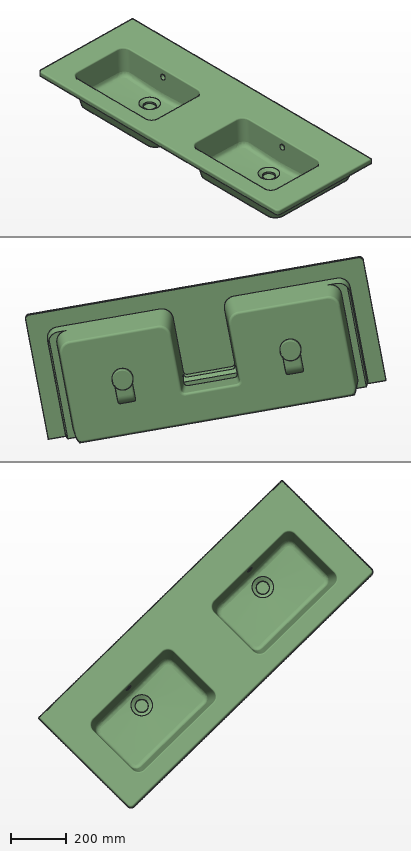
import cadquery as cq
import math


slab_length = 1227.0
slab_depth = 468.25
slab_thickness = 19.0
slab_corner_radius = 15.0
slab_edge_radius = 6.0

overall_height = 164.92
body_floor_z = -140.0

front_y_at_slab = -407.0
front_y_at_floor = -378.0
body_corner_radius = 42.0
body_edge_radius = 9.0
rear_cut_slope = math.tan(math.radians(27.0))

flange_half_length = 550.0
flange_draft = 3.0
flange_rear_cut = 9.0
flange_side_bevel = 5.0
flange_valley_bevel = 11.0
flange_z = -55.0

shell_half_length = 521.0
shell_draft = 13.0
shell_rear_cut_at_slab = 31.0
shell_rear_cut_at_floor = 18.0
shell_rear_radius = 36.0

valley_half_width_at_slab = 93.0
valley_half_width_at_floor = 106.0
valley_flange_y = -150.0
valley_shell_y = -120.0
valley_draft = 5.0
valley_root_radius = 13.0

basin_pitch = 610.0
bowl_half_length = 203.0
bowl_back_y = -143.0
bowl_front_y = -402.0
bowl_side_draft = 8.3
bowl_back_draft = 5.6
bowl_front_draft = 17.5
bowl_corner_radius = 30.0
bowl_floor_radius = 18.0
bowl_rim_radius = 5.0
floor_slope = 3.0

drain_y = -212.0
drain_z = -114.0
drain_outer_diameter = 77.0
drain_hole_diameter = 47.0
drain_cone_depth = 10.0
drain_hole_depth = 7.0
drain_clearance = 6.0
pipe_diameter = 75.0
pipe_edge_radius = 3.0

overflow_diameter = 22.0
overflow_z = -32.0
overflow_depth = 15.0
duct_width = 64.0
duct_back_y = -120.0
duct_bottom_z = -161.0
duct_nose_length = 32.0
duct_edge_radius = 8.0

floor_overlap = 4.0

selection_margin = 1.0


def between(z, value_at_slab, value_at_floor):
    """Value that changes linearly from the slab underside to the body floor."""
    fraction = (z + slab_thickness) / (body_floor_z + slab_thickness)
    return value_at_slab + fraction * (value_at_floor - value_at_slab)


def body_outline(z, half_length, rear_cut, valley_y):
    """Corners of one body section: front face notched by the valley, rear corners cut off."""
    front_y = between(z, front_y_at_slab, front_y_at_floor)
    valley_half = between(z, valley_half_width_at_slab, valley_half_width_at_floor)
    right_side = [
        (valley_half, valley_y),
        (valley_half, front_y),
        (half_length, front_y),
        (half_length, -rear_cut),
        (half_length - rear_cut * rear_cut_slope, 0),
    ]
    left_side = [(-x, y) for x, y in reversed(right_side)]
    return right_side + left_side


def prismatoid(z_top, outline_top, z_bottom, outline_bottom):
    """Solid with flat walls between two sections that have the same number of corners."""
    top = [cq.Vector(x, y, z_top) for x, y in outline_top]
    bottom = [cq.Vector(x, y, z_bottom) for x, y in outline_bottom]
    polygons = [top, bottom]
    for i in range(len(top)):
        polygons.append([top[i - 1], top[i], bottom[i], bottom[i - 1]])
    faces = [cq.Face.makeFromWires(cq.Wire.makePolygon(corners, close=True)) for corners in polygons]
    return cq.Workplane(obj=cq.Solid.makeSolid(cq.Shell.makeShell(faces)))


def upright_edges(layer, box_from, box_to):
    """Wall edges between two sections whose middles lie in a region of the plan."""
    region = cq.selectors.BoxSelector((*box_from, body_floor_z), (*box_to, 0))
    return layer.edges(region).edges("not #Z")


def make_slab():
    slab = (
        cq.Workplane("XY", origin=(0, -slab_depth / 2, -slab_thickness))
        .box(slab_length, slab_depth, slab_thickness, centered=(True, True, False))
        .edges("|Z and <Y").fillet(slab_corner_radius)
    )
    return slab.faces("<Y").edges(">Z").fillet(slab_edge_radius)


def round_root_and_ends(layer):
    """Round the valley root and the two outer front corners of a body layer."""
    valley_reach = valley_half_width_at_floor
    layer = upright_edges(
        layer, (-valley_reach, front_y_at_floor), (valley_reach, 0)
    ).fillet(valley_root_radius)
    for near_x, far_x in ((-slab_length, -valley_reach), (valley_reach, slab_length)):
        layer = upright_edges(
            layer, (near_x, -slab_depth), (far_x, front_y_at_floor)
        ).fillet(body_corner_radius)
    return layer


def make_flange():
    """Wide upper layer of the body with its lower edge bevelled at the sides and in the valley."""
    low_half = flange_half_length - flange_draft
    low_valley_y = valley_flange_y + valley_draft
    flange = prismatoid(
        -slab_thickness,
        body_outline(-slab_thickness, flange_half_length, flange_rear_cut, valley_flange_y),
        flange_z,
        body_outline(flange_z, low_half, flange_rear_cut, low_valley_y),
    )
    flange = round_root_and_ends(flange)

    def bevel_section(plane, edge, inward, size):
        return (
            cq.Workplane(plane)
            .polyline([
                (edge + inward * size, flange_z),
                (edge - inward * size, flange_z),
                (edge - inward * size, flange_z + 2 * size),
            ]).close()
        )

    for side in (-1, 1):
        side_bevel = bevel_section("XZ", side * low_half, -side, flange_side_bevel)
        flange = flange.cut(side_bevel.extrude(slab_depth))
    valley_half = between(flange_z, valley_half_width_at_slab, valley_half_width_at_floor)
    valley_bevel = bevel_section("YZ", low_valley_y, 1, flange_valley_bevel)
    return flange.cut(valley_bevel.extrude(valley_half, both=True))


def make_shell():
    """Narrow layer of the body, from the slab down to the body floor."""
    floor_half_length = shell_half_length - shell_draft
    shell = prismatoid(
        -slab_thickness,
        body_outline(-slab_thickness, shell_half_length, shell_rear_cut_at_slab, valley_shell_y),
        body_floor_z,
        body_outline(
            body_floor_z, floor_half_length, shell_rear_cut_at_floor, valley_shell_y + valley_draft
        ),
    )
    shell = round_root_and_ends(shell)
    rear_cut_corners = upright_edges(
        shell, (-slab_length, -shell_rear_cut_at_slab), (slab_length, -shell_rear_cut_at_floor)
    )
    return rear_cut_corners.fillet(shell_rear_radius)


def make_body():
    """Flange and shell joined, with common valley corners and a rounded floor edge."""
    body = make_flange().union(make_shell())
    valley_reach = valley_half_width_at_floor
    valley_corners = upright_edges(
        body, (-valley_reach, -slab_depth), (valley_reach, front_y_at_floor)
    )
    body = valley_corners.fillet(body_corner_radius)
    return body.faces("<Z").edges().fillet(body_edge_radius)


def make_floor_limit(x):
    """Everything within reach that lies above the conical bowl floor of one basin."""
    slope = math.tan(math.radians(floor_slope))
    apex_z = drain_z - slope * drain_outer_diameter / 2
    reach = slab_depth
    return (
        cq.Workplane("YZ", origin=(x, drain_y, 0))
        .polyline([(0, apex_z), (reach, apex_z + slope * reach), (reach, 0), (0, 0)]).close()
        .revolve(360, (0, 0, 0), (0, 1, 0))
    )


def make_bowl_space(x):
    """Space inside one bowl, closed below by the cone that falls to the drain."""
    depth = drain_cone_depth - drain_z

    def level(z):
        side_shift = -z * math.tan(math.radians(bowl_side_draft))
        back_y = bowl_back_y + z * math.tan(math.radians(bowl_back_draft))
        front_y = bowl_front_y - z * math.tan(math.radians(bowl_front_draft))
        left_x = x - bowl_half_length + side_shift
        right_x = x + bowl_half_length - side_shift
        return [(left_x, back_y), (right_x, back_y), (right_x, front_y), (left_x, front_y)]

    walls = prismatoid(0, level(0), -depth, level(-depth))
    walls = upright_edges(
        walls, (x - bowl_half_length, bowl_front_y), (x + bowl_half_length, bowl_back_y)
    ).fillet(bowl_corner_radius)
    space = walls.intersect(make_floor_limit(x))
    return space.faces("%CONE").edges().fillet(bowl_floor_radius)


def make_drain_pipe(x):
    """Pipe stub under the drain, solid below the drain recess."""
    return (
        cq.Workplane("XY", origin=(x, drain_y, -overall_height))
        .circle(pipe_diameter / 2).extrude(overall_height + body_floor_z + floor_overlap)
        .faces("<Z").edges().fillet(pipe_edge_radius)
    )


def make_overflow_duct(x):
    """Rounded hump under the body that leads from the rear to the drain pipe."""
    body_z = body_floor_z + floor_overlap
    return (
        cq.Workplane("YZ", origin=(x, 0, 0))
        .moveTo(drain_y, body_z)
        .lineTo(drain_y, duct_bottom_z)
        .lineTo(duct_back_y - duct_nose_length, duct_bottom_z)
        .tangentArcPoint((duct_back_y, body_floor_z), relative=False)
        .lineTo(duct_back_y, body_z)
        .close()
        .extrude(duct_width / 2, both=True)
        .faces("<X or >X").edges("<Z").fillet(duct_edge_radius)
    )


def make_drain_recess(x):
    """Funnel and blind hole in the bowl floor."""
    outer_radius = drain_outer_diameter / 2
    hole_radius = drain_hole_diameter / 2
    cone_bottom_z = drain_z - drain_cone_depth
    hole_bottom_z = cone_bottom_z - drain_hole_depth
    return (
        cq.Workplane("XZ", origin=(x, drain_y, 0))
        .polyline([
            (0, hole_bottom_z),
            (hole_radius, hole_bottom_z),
            (hole_radius, cone_bottom_z),
            (outer_radius, drain_z),
            (outer_radius, drain_z + drain_clearance),
            (0, drain_z + drain_clearance),
        ]).close()
        .revolve(360, (0, 0, 0), (0, 1, 0))
    )


def make_overflow_hole(x):
    """Blind round hole in the rear wall of the bowl."""
    return (
        cq.Workplane("XZ", origin=(x, bowl_back_y - overflow_depth, overflow_z))
        .circle(overflow_diameter / 2).extrude(-2 * overflow_depth)
    )


def round_bowl_rim(basin, x):
    """Round the edge where one bowl opens into the top face."""
    rim = cq.selectors.BoxSelector(
        (x - bowl_half_length, bowl_front_y, -selection_margin),
        (x + bowl_half_length, bowl_back_y, selection_margin),
    )
    return basin.edges(rim).fillet(bowl_rim_radius)


basin_centres = (-basin_pitch / 2, basin_pitch / 2)

result = make_slab().union(make_body())
for x in basin_centres:
    result = result.union(make_drain_pipe(x)).union(make_overflow_duct(x))
    result = result.cut(make_bowl_space(x))
    result = round_bowl_rim(result, x)
    result = result.cut(make_drain_recess(x)).cut(make_overflow_hole(x))